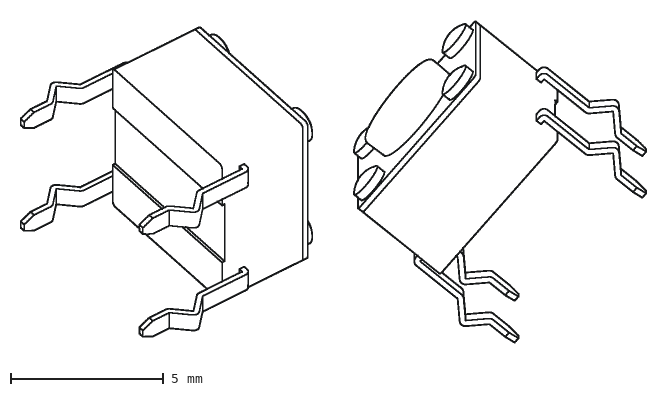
import cadquery as cq
import math


case_side = 6.0
case_depth = 3.5
corner_radius = 0.15
cover_thickness = 0.2
base_depth = case_depth - cover_thickness

channel_width = 2.5
channel_depth = 0.1

button_height = 0.8
button_top_radius = 1.74
button_draft = 2.0
button_edge_radius = 0.1

corner_offset = 2.25
rivet_radius = 0.6
rivet_side_height = 0.3
rivet_height = 0.5

overall_width = 7.9
pin_width = 0.69
pin_thickness = 0.2
pin_outer_x = 3.35
pin_exit_y = 0.7
kink_angle = 45.0
kink_apex_y = -1.74
pin_tip_y = -3.5
tip_length = 0.4
tip_inset = 0.205

corners = [(sx * corner_offset, sz * corner_offset) for sx in (-1, 1) for sz in (-1, 1)]


def case_block(start_y, depth):
    """Square block with rounded corners, from start_y toward +Y."""
    return (
        cq.Workplane("XZ", origin=(0, start_y, 0))
        .rect(case_side, case_side)
        .extrude(-depth)
        .edges("|Y")
        .fillet(corner_radius)
    )


def make_button():
    """Round button standing on the base, narrowing toward it."""
    height = cover_thickness + button_height
    foot_radius = button_top_radius - height * math.tan(math.radians(button_draft))
    profile = [(0, 0), (foot_radius, 0), (button_top_radius, height), (0, height)]
    return (
        cq.Workplane("XY", origin=(0, base_depth, 0))
        .polyline(profile)
        .close()
        .revolve(360, (0, 0), (0, 1))
        .faces(">Y")
        .edges()
        .fillet(button_edge_radius)
    )


def make_rivet(x, z):
    """Domed rivet standing on the base."""
    side_height = cover_thickness + rivet_side_height
    dome_rise = rivet_height - rivet_side_height
    dome_radius = (rivet_radius**2 + dome_rise**2) / (2 * dome_rise)
    top = cover_thickness + rivet_height
    half_angle = math.asin(rivet_radius / dome_radius) / 2
    dome_mid = (
        dome_radius * math.sin(half_angle),
        top - dome_radius * (1 - math.cos(half_angle)),
    )
    return (
        cq.Workplane("XY", origin=(x, base_depth, z))
        .lineTo(rivet_radius, 0)
        .lineTo(rivet_radius, side_height)
        .threePointArc(dome_mid, (0, top))
        .close()
        .revolve(360, (0, 0), (0, 1))
    )


def make_base():
    """Base with the channel, the button and the rivets, all one body."""
    channel = cq.Workplane("XY").box(case_side, 2 * channel_depth, channel_width)
    base = case_block(0, base_depth).cut(channel).union(make_button())
    for x, z in corners:
        base = base.union(make_rivet(x, z))
    return base


def make_cover(base):
    """Cover plate on the base, with holes matching the button and rivets."""
    return case_block(base_depth, cover_thickness).cut(base)


def pin_silhouette(z):
    """Block with the outline of a pin along X: a straight strip with a tapered tip."""
    half_width = pin_width / 2
    half_tip = half_width - tip_inset
    shoulder_y = pin_tip_y + tip_length
    top_y = pin_exit_y + pin_thickness
    outline = [
        (top_y, half_width),
        (shoulder_y, half_width),
        (pin_tip_y, half_tip),
        (pin_tip_y, -half_tip),
        (shoulder_y, -half_width),
        (top_y, -half_width),
    ]
    return cq.Workplane("YZ", origin=(0, 0, z)).polyline(outline).close().extrude(overall_width / 2)


def make_pin(x, z):
    """Pin at height z, on the wall of the base that lies on the same side as x.

    Every bend is sharp inside and has a round of the strip thickness outside.
    """
    t = pin_thickness
    slant = math.radians(kink_angle)
    slant_x = t * math.cos(slant)
    slant_y = t * math.sin(slant)
    half_bend_x = t * math.cos(slant / 2)
    half_bend_y = t * math.sin(slant / 2)
    corner_mid = t * math.sqrt(0.5)
    wall_x = case_side / 2
    outer_x = pin_outer_x
    inner_x = outer_x - t
    apex_outer_x = overall_width / 2
    apex_x = apex_outer_x - t
    kink_half = (t + (apex_x - outer_x) * math.cos(slant)) / math.sin(slant)
    kink_top = kink_apex_y + kink_half
    kink_bottom = kink_apex_y - kink_half

    strip = (
        cq.Workplane("XY", origin=(0, 0, z - pin_width / 2))
        .moveTo(wall_x, pin_exit_y + t)
        .lineTo(inner_x, pin_exit_y + t)
        .threePointArc((inner_x + corner_mid, pin_exit_y + corner_mid), (outer_x, pin_exit_y))
        .lineTo(outer_x, kink_top)
        .lineTo(apex_x + slant_x, kink_apex_y + slant_y)
        .threePointArc((apex_outer_x, kink_apex_y), (apex_x + slant_x, kink_apex_y - slant_y))
        .lineTo(outer_x, kink_bottom)
        .lineTo(outer_x, pin_tip_y)
        .lineTo(inner_x, pin_tip_y)
        .lineTo(inner_x, kink_bottom)
        .threePointArc(
            (outer_x - half_bend_x, kink_bottom + half_bend_y),
            (outer_x - slant_x, kink_bottom + slant_y),
        )
        .lineTo(apex_x, kink_apex_y)
        .lineTo(outer_x - slant_x, kink_top - slant_y)
        .threePointArc((outer_x - half_bend_x, kink_top - half_bend_y), (inner_x, kink_top))
        .lineTo(inner_x, pin_exit_y)
        .lineTo(wall_x, pin_exit_y)
        .close()
        .extrude(pin_width)
    )
    pin = strip.intersect(pin_silhouette(z))
    return pin if x > 0 else pin.mirror("YZ")


base = make_base()
cover = make_cover(base)
pins = [make_pin(x, z) for x, z in corners]

result = cq.Compound.makeCompound([base.val(), cover.val(), *[pin.val() for pin in pins]])